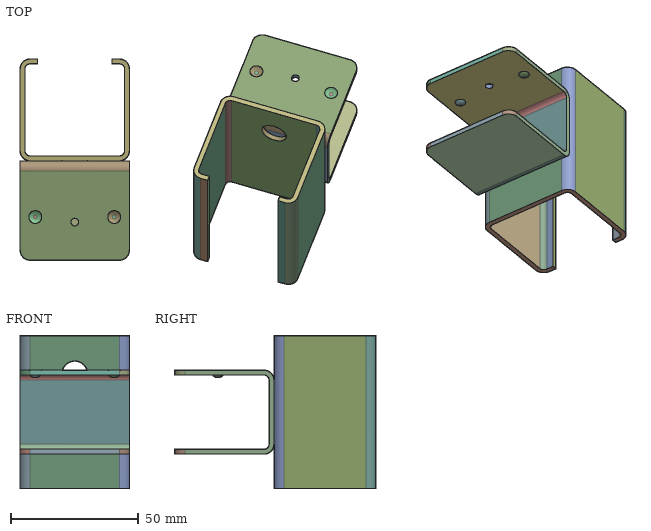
import cadquery as cq
import math

THICKNESS = 2.0
INNER_BEND = 2.0
OUTER_BEND = INNER_BEND + THICKNESS
WIDTH = 43.0
TOTAL_DEPTH = 79.0

CHANNEL_DEPTH = 40.0
CHANNEL_HEIGHT = 60.0
LIP_LENGTH = 6.95
WEB_HOLE_DIAMETER = 10.0
WEB_HOLE_FROM_TOP = 15.0

CLIP_DEPTH = TOTAL_DEPTH - CHANNEL_DEPTH
CLIP_HEIGHT = 33.0
CLIP_CORNER_RADIUS = 4.0
CENTER_HOLE_DIAMETER = 3.0
CENTER_HOLE_FROM_FRONT = 15.0

DIMPLE_SPACING = 31.0
DIMPLE_FROM_FRONT = 17.0
DIMPLE_DEPTH = 1.0
DIMPLE_FLOOR_DIAMETER = 1.5
DIMPLE_MOUTH_DIAMETER = 5.05
DIMPLE_BASE_DIAMETER = 4.2
DIMPLE_TIP_DIAMETER = 0.6

FLANGE_TOP = CLIP_HEIGHT / 2
FLANGE_UNDERSIDE = FLANGE_TOP - THICKNESS
CLIP_FRONT = -CLIP_DEPTH


def spherical_bowl(x, z_top, rim_diameter, floor_diameter):
    """Bowl hanging from z_top: a slice of a sphere between its rim and floor circles."""
    rim_radius = rim_diameter / 2
    floor_radius = floor_diameter / 2
    center_height = (rim_radius**2 - floor_radius**2 - DIMPLE_DEPTH**2) / (2 * DIMPLE_DEPTH)
    sphere_radius = math.hypot(rim_radius, center_height)
    origin = (x, CLIP_FRONT + DIMPLE_FROM_FRONT, z_top)
    sphere = cq.Workplane("XY", origin=origin).workplane(offset=center_height).sphere(sphere_radius)
    slab = cq.Workplane("XY", origin=origin).circle(sphere_radius).extrude(-DIMPLE_DEPTH)
    return slab.intersect(sphere)


def make_channel():
    outer = (
        cq.Workplane("XY")
        .box(WIDTH, CHANNEL_DEPTH, CHANNEL_HEIGHT)
        .edges("|Z")
        .fillet(OUTER_BEND)
    )
    inner = (
        cq.Workplane("XY")
        .box(WIDTH - 2 * THICKNESS, CHANNEL_DEPTH - 2 * THICKNESS, CHANNEL_HEIGHT)
        .edges("|Z")
        .fillet(INNER_BEND)
    )
    back_opening = (
        cq.Workplane("XY")
        .box(WIDTH - 2 * LIP_LENGTH, CHANNEL_DEPTH, CHANNEL_HEIGHT)
        .translate((0, CHANNEL_DEPTH / 2, 0))
    )
    channel = outer.cut(inner).cut(back_opening).translate((0, CHANNEL_DEPTH / 2, 0))

    hole_z = CHANNEL_HEIGHT / 2 - WEB_HOLE_FROM_TOP
    web_hole = (
        cq.Workplane("XZ", origin=(0, THICKNESS, hole_z))
        .circle(WEB_HOLE_DIAMETER / 2)
        .extrude(THICKNESS)
    )
    return channel.cut(web_hole)


def add_dimple(clip, x):
    boss = spherical_bowl(x, FLANGE_UNDERSIDE, DIMPLE_BASE_DIAMETER, DIMPLE_TIP_DIAMETER)
    recess = spherical_bowl(x, FLANGE_TOP, DIMPLE_MOUTH_DIAMETER, DIMPLE_FLOOR_DIAMETER)
    return clip.union(boss).cut(recess)


def make_clip():
    outer = (
        cq.Workplane("XY")
        .box(WIDTH, CLIP_DEPTH, CLIP_HEIGHT)
        .edges("|X and >Y")
        .fillet(OUTER_BEND)
    )
    inner = (
        cq.Workplane("XY")
        .box(WIDTH, CLIP_DEPTH, CLIP_HEIGHT - 2 * THICKNESS)
        .edges("|X and >Y")
        .fillet(INNER_BEND)
        .translate((0, -THICKNESS, 0))
    )
    clip = outer.cut(inner).edges("|Z and <Y").fillet(CLIP_CORNER_RADIUS)
    clip = clip.translate((0, -CLIP_DEPTH / 2, 0))

    center_hole = (
        cq.Workplane("XY", origin=(0, CLIP_FRONT + CENTER_HOLE_FROM_FRONT, FLANGE_TOP))
        .circle(CENTER_HOLE_DIAMETER / 2)
        .extrude(-THICKNESS)
    )
    clip = clip.cut(center_hole)
    for side in (-1, 1):
        clip = add_dimple(clip, side * DIMPLE_SPACING / 2)
    return clip


channel = make_channel()
clip = make_clip()
result = cq.Compound.makeCompound([channel.val(), clip.val()])